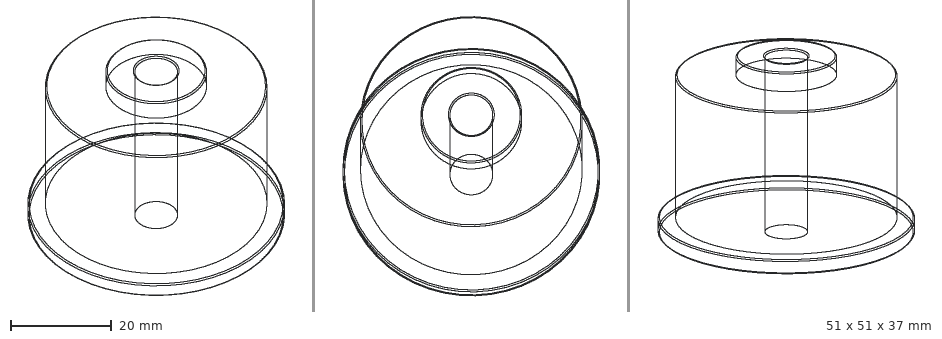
import cadquery as cq

flange_diameter = 51.0
flange_height = 3.0
body_diameter = 44.0
body_height = 30.0
boss_diameter = 20.0
boss_height = 4.0
bore_diameter = 8.5
edge_chamfer = 0.3

body_base = flange_height
boss_base = body_base + body_height
overall_height = boss_base + boss_height


def disc(diameter, height, base):
    """Cylinder on the Z axis standing on the level `base`."""
    return cq.Workplane("XY").workplane(offset=base).circle(diameter / 2).extrude(height)


def chamfered_flange():
    """Base flange with both rims broken."""
    return disc(flange_diameter, flange_height, 0).edges("%CIRCLE").chamfer(edge_chamfer)


def chamfered_step(diameter, height, base):
    """Cylindrical step with its top rim broken."""
    return disc(diameter, height, base).faces(">Z").edges().chamfer(edge_chamfer)


def bore_cutter():
    """Through bore with a small chamfer at its upper mouth."""
    bore_radius = bore_diameter / 2
    mouth_radius = bore_radius + edge_chamfer
    profile = [
        (0, 0),
        (bore_radius, 0),
        (bore_radius, overall_height - edge_chamfer),
        (mouth_radius, overall_height),
        (0, overall_height),
    ]
    return cq.Workplane("XZ").polyline(profile).close().revolve(360, (0, 0), (0, 1))


flange = chamfered_flange()
body = chamfered_step(body_diameter, body_height, body_base)
boss = chamfered_step(boss_diameter, boss_height, boss_base)

result = flange.union(body).union(boss).cut(bore_cutter())